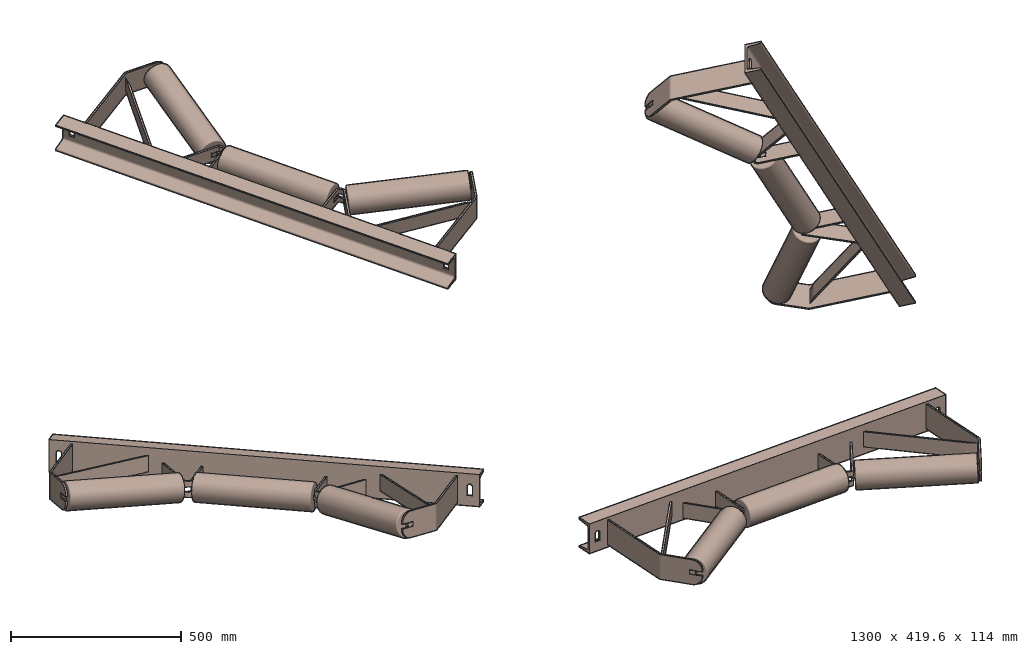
import cadquery as cq
import math

CHANNEL_LENGTH = 1300
CHANNEL_HEIGHT = 100.0
FLANGE_WIDTH = 51.0
WEB_THICKNESS = 6.0
FLANGE_ROOT_THICKNESS = 10.0
FLANGE_TOE_THICKNESS = 6.0
FLANGE_ROOT_RADIUS = 8.0
FLANGE_TOE_RADIUS = 4.0

MOUNT_SLOT_X = 620.0
MOUNT_SLOT_WIDTH = 17.0
MOUNT_SLOT_HEIGHT = 35.0

ROLLER_DIAMETER = 88.0
ROLLER_LENGTH = 360.0
ROLLER_EDGE_RADIUS = 4.0
SHAFT_DIAMETER = 20.0
SHAFT_FLAT_WIDTH = 14.0
ROLLER_TO_PLATE_GAP = 4.0

MIDDLE_AXIS_Y = 116.0
MIDDLE_AXIS_Z = -20.0
WING_CENTER_X = 370.0
WING_CENTER_Y = 231.0
WING_ANGLE = 35
WING_TILT = 3
WING_OUTER_AXIS_Z = -0.6

PLATE_THICKNESS = 6.0
OUTER_BRACKET_HEIGHT = 83.0
OUTER_BEND_Y = 257.0
OUTER_TIP_REACH = 30.0
OUTER_CORNER_RADIUS = 31.0
OUTER_BEND_RADIUS = 15.0
INNER_BRACKET_HEIGHT = 51.0
INNER_BRIDGE_Y = 140.0
INNER_BEND_RADIUS = 13.0

BRACE_HEIGHT = 51.0
BRACE_FOOT_X = -358.0
BRACE_BEVEL_LENGTH = 34.0

plate_near = ROLLER_LENGTH / 2 + ROLLER_TO_PLATE_GAP
plate_far = plate_near + PLATE_THICKNESS

wing_cos = math.cos(math.radians(WING_ANGLE))
wing_sin = math.sin(math.radians(WING_ANGLE))
wing_center_z = WING_OUTER_AXIS_Z - plate_far * math.sin(math.radians(WING_TILT))


def wing_plate_x(distance, y):
    """X at a given Y of the plan line square to the left wing axis, `distance` out from the roller middle."""
    return -WING_CENTER_X - distance / wing_cos + (y - WING_CENTER_Y) * wing_sin / wing_cos


def wing_plate_y(distance, x):
    """Y at a given X of the same line."""
    return WING_CENTER_Y + (x + WING_CENTER_X + distance / wing_cos) * wing_cos / wing_sin


def wing_point(distance, reach):
    """Plan point `distance` out along the left wing axis and `reach` square to it, upward."""
    return (
        -WING_CENTER_X - distance * wing_cos + reach * wing_sin,
        WING_CENTER_Y + distance * wing_sin + reach * wing_cos,
    )


def place_left_wing(body):
    """Move a body built along X at the origin onto the left wing axis."""
    return (
        body.rotate((0, 0, 0), (0, 1, 0), WING_TILT)
        .rotate((0, 0, 0), (0, 0, 1), -WING_ANGLE)
        .translate((-WING_CENTER_X, WING_CENTER_Y, wing_center_z))
    )


def place_middle(body):
    """Move a body built along X at the origin onto the middle roller axis."""
    return body.translate((0, MIDDLE_AXIS_Y, MIDDLE_AXIS_Z))


def make_channel():
    half = CHANNEL_HEIGHT / 2
    end_x = CHANNEL_LENGTH / 2
    root = half - FLANGE_ROOT_THICKNESS
    toe = half - FLANGE_TOE_THICKNESS
    section = (
        cq.Workplane("YZ", origin=(-end_x, 0, 0))
        .polyline(
            [
                (0, -half),
                (0, half),
                (-FLANGE_WIDTH, half),
                (-FLANGE_WIDTH, toe),
                (-WEB_THICKNESS, root),
                (-WEB_THICKNESS, -root),
                (-FLANGE_WIDTH, -toe),
                (-FLANGE_WIDTH, -half),
            ]
        )
        .close()
        .extrude(CHANNEL_LENGTH)
    )
    inner_roots = cq.selectors.BoxSelector(
        (-end_x, -WEB_THICKNESS - 1.0, -half), (end_x, -WEB_THICKNESS + 1.0, half)
    )
    section = section.edges("|X").edges(inner_roots).fillet(FLANGE_ROOT_RADIUS)
    inner_toes = cq.selectors.BoxSelector(
        (-end_x, -FLANGE_WIDTH - 1.0, -toe - 1.0), (end_x, -FLANGE_WIDTH + 1.0, toe + 1.0)
    )
    section = section.edges("|X").edges(inner_toes).fillet(FLANGE_TOE_RADIUS)

    radius = MOUNT_SLOT_WIDTH / 2
    foot = -MOUNT_SLOT_HEIGHT / 2
    head = MOUNT_SLOT_HEIGHT / 2
    for x in (-MOUNT_SLOT_X, MOUNT_SLOT_X):
        slot = (
            cq.Workplane("XZ")
            .moveTo(x - radius, foot)
            .lineTo(x + radius, foot)
            .lineTo(x + radius, head - radius)
            .threePointArc((x, head), (x - radius, head - radius))
            .close()
            .extrude(WEB_THICKNESS)
        )
        section = section.cut(slot)
    return section


def make_roller():
    """Roller along X, its shaft ends flattened to slide into the plate slots."""
    shell = (
        cq.Workplane("YZ", origin=(-ROLLER_LENGTH / 2, 0, 0))
        .circle(ROLLER_DIAMETER / 2)
        .extrude(ROLLER_LENGTH)
        .edges()
        .fillet(ROLLER_EDGE_RADIUS)
    )
    shaft = (
        cq.Workplane("YZ", origin=(-plate_far, 0, 0))
        .circle(SHAFT_DIAMETER / 2)
        .extrude(2 * plate_far)
    )
    flats = cq.Workplane("XY").box(2 * plate_far, SHAFT_DIAMETER, SHAFT_FLAT_WIDTH)
    return shell.union(shaft.intersect(flats))


def make_shaft_slot(side):
    """Cutter for the open slot that holds one shaft end; side is -1 for the -X end, +1 for the +X end."""
    reach = ROLLER_DIAMETER
    span = 4 * PLATE_THICKNESS
    middle = side * (plate_near + plate_far) / 2
    return cq.Workplane("XY").box(span, reach, SHAFT_FLAT_WIDTH).translate(
        (middle, (reach - SHAFT_DIAMETER) / 2, 0)
    )


def round_bend(strip, corner, radius):
    """Round the Z-parallel edge nearest to a plan corner."""
    height = strip.val().Center().z
    return strip.edges("|Z").edges(cq.NearestToPointSelector((*corner, height))).fillet(radius)


outer_leg_far_x = wing_plate_x(plate_far, OUTER_BEND_Y)
outer_leg_near_x = outer_leg_far_x + PLATE_THICKNESS
outer_bend_far = (outer_leg_far_x, OUTER_BEND_Y)
outer_bend_near = (outer_leg_near_x, wing_plate_y(plate_near, outer_leg_near_x))
outer_bend_near_radius = OUTER_BEND_RADIUS - PLATE_THICKNESS


def make_left_outer_bracket():
    strip = (
        cq.Workplane("XY", origin=(0, 0, -OUTER_BRACKET_HEIGHT / 2))
        .polyline(
            [
                (outer_leg_far_x, 0),
                outer_bend_far,
                wing_point(plate_far, OUTER_TIP_REACH),
                wing_point(plate_near, OUTER_TIP_REACH),
                outer_bend_near,
                (outer_leg_near_x, 0),
            ]
        )
        .close()
        .extrude(OUTER_BRACKET_HEIGHT)
    )
    strip = round_bend(strip, outer_bend_far, OUTER_BEND_RADIUS)
    strip = round_bend(strip, outer_bend_near, outer_bend_near_radius)
    tip_corners = cq.selectors.ParallelDirSelector(cq.Vector(-wing_cos, wing_sin, 0))
    strip = strip.edges(tip_corners).fillet(OUTER_CORNER_RADIUS)
    return strip.cut(place_left_wing(make_shaft_slot(-1)))


def make_left_inner_bracket():
    bridge_under_y = INNER_BRIDGE_Y - PLATE_THICKNESS
    bend_outside = (-plate_near, INNER_BRIDGE_Y)
    bend_inside = (-plate_far, bridge_under_y)
    strip = (
        cq.Workplane("XY", origin=(0, 0, MIDDLE_AXIS_Z - INNER_BRACKET_HEIGHT / 2))
        .polyline(
            [
                (-plate_near, 0),
                bend_outside,
                (wing_plate_x(-plate_near, INNER_BRIDGE_Y), INNER_BRIDGE_Y),
                (wing_plate_x(-plate_near, 0), 0),
                (wing_plate_x(-plate_far, 0), 0),
                (wing_plate_x(-plate_far, bridge_under_y), bridge_under_y),
                bend_inside,
                (-plate_far, 0),
            ]
        )
        .close()
        .extrude(INNER_BRACKET_HEIGHT)
    )
    strip = round_bend(strip, bend_outside, INNER_BEND_RADIUS)
    strip = round_bend(strip, bend_inside, INNER_BEND_RADIUS - PLATE_THICKNESS)
    strip = strip.cut(place_left_wing(make_shaft_slot(1)))
    return strip.cut(place_middle(make_shaft_slot(-1)))


def make_left_brace():
    """Flat strip whose upper end is bevelled to an edge that meets the outer bracket just below its bend."""
    bend_tangent = outer_bend_near_radius * math.tan(math.radians(WING_ANGLE / 2))
    tip_x = outer_leg_near_x
    tip_y = outer_bend_near[1] - bend_tangent
    length = math.hypot(BRACE_FOOT_X - tip_x, tip_y)
    down_x = (BRACE_FOOT_X - tip_x) / length
    down_y = -tip_y / length
    bevel_x = tip_x + BRACE_BEVEL_LENGTH * down_x - PLATE_THICKNESS * down_y
    bevel_y = tip_y + BRACE_BEVEL_LENGTH * down_y + PLATE_THICKNESS * down_x
    foot_width = -PLATE_THICKNESS / down_y
    return (
        cq.Workplane("XY", origin=(0, 0, -BRACE_HEIGHT / 2))
        .polyline(
            [
                (BRACE_FOOT_X, 0),
                (BRACE_FOOT_X + foot_width, 0),
                (bevel_x, bevel_y),
                (tip_x, tip_y),
            ]
        )
        .close()
        .extrude(BRACE_HEIGHT)
    )


channel = make_channel()
middle_roller = place_middle(make_roller())
left_bodies = [
    place_left_wing(make_roller()),
    make_left_outer_bracket(),
    make_left_inner_bracket(),
    make_left_brace(),
]

bodies = [channel.val(), middle_roller.val()]
for left_body in left_bodies:
    right_body = left_body.mirror("YZ")
    bodies.append(left_body.val())
    bodies.append(right_body.val())

result = cq.Compound.makeCompound(bodies)